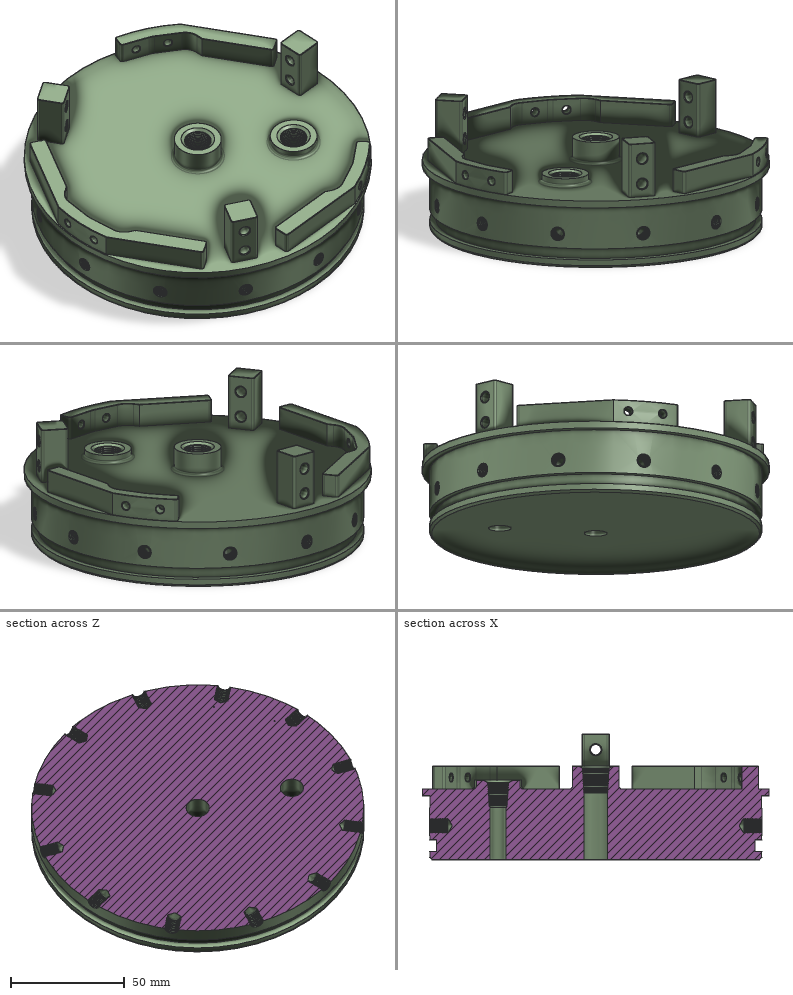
import cadquery as cq
import math

FLANGE_DIAMETER = 152.4
BODY_DIAMETER = 146.0
GROOVE_DIAMETER = 140.4
BOTTOM_CHAMFER = 1.0
GROOVE_BOTTOM = 3.7
GROOVE_TOP = 8.7
FLANGE_BOTTOM = 28.0
FLANGE_TOP = 31.1
TOTAL_HEIGHT = 55.2

PORT_BORE = 9.9
PORT_MAJOR = 11.6
PORT_THREAD_DEPTH = 0.3
PORT_MOUTH = 14.6
PORT_SINK_ANGLE = 120.0
PORT_PITCH = 0.9
PORT_THREAD_TURNS = 12
BOSS_DIAMETER = 20.5
BOSS_BASE_FILLET = 1.4
CENTER_BOSS_HEIGHT = 10.0
OFFSET_BOSS_HEIGHT = 3.8
OFFSET_BOSS_X = 3.7
OFFSET_BOSS_Y = 42.8

RIM_HOLE_COUNT = 12
RIM_HOLE_HEIGHT = 15.0
RIM_MINOR = 5.3
RIM_MAJOR = 6.1
RIM_PITCH = 0.8
RIM_THREAD_TURNS = 11
DRILL_POINT_ANGLE = 118.0

SECTOR_COUNT = 3
SECTOR_ANGLE = 360 / SECTOR_COUNT
POST_SIZE = 12.0
POST_RADIUS = 65.0
POST_HEIGHT = TOTAL_HEIGHT - FLANGE_TOP
POST_CORNER = 1.0
POST_TOP_CHAMFER = 0.23
POST_HOLE = 4.5
POST_HOLE_MOUTH = 5.3
POST_HOLE_HEIGHTS = (5.8, 17.2)

WALL_HEIGHT = 10.0
WALL_OUTER_RADIUS = 75.6
WALL_FLAT = 69.3
WALL_HOLE = 3.5
WALL_HOLE_MOUTH = 4.1
WALL_HOLE_ANGLE = 6.0
WALL_END_ANGLE = 12.0
WALL_CORNER = 1.2
WALL_TOP_CHAMFER = 0.23
FLAT_BLEND = 12.2
RECESS_FILLET = 7.6
ARM_INNER = 64.0
ARM_OUTER = 71.5
ARM_TIP = 19.2
ARM_RECESS = 13.1
ARM_ANGLE = 30.0


def polar(radius, angle):
    """Point at a radius and an angle in degrees."""
    return (radius * math.cos(math.radians(angle)), radius * math.sin(math.radians(angle)))


def arm_point(distance, along):
    """Point at a distance from the part axis and a length along the arm."""
    nx, ny = polar(1, ARM_ANGLE)
    return (distance * nx - along * ny, distance * ny + along * nx)


def mirrored(point):
    """Same point on the other side of the wall axis."""
    return (point[0], -point[1])


def spin(shape, angle):
    """Turn a shape about the part axis."""
    return shape.rotate((0, 0, 0), (0, 0, 1), angle)


def make_body():
    body_r = BODY_DIAMETER / 2
    groove_r = GROOVE_DIAMETER / 2
    flange_r = FLANGE_DIAMETER / 2
    return (
        cq.Workplane("XZ")
        .polyline([
            (0, 0),
            (body_r - BOTTOM_CHAMFER, 0),
            (body_r, BOTTOM_CHAMFER),
            (body_r, GROOVE_BOTTOM),
            (groove_r, GROOVE_BOTTOM),
            (groove_r, GROOVE_TOP),
            (body_r, GROOVE_TOP),
            (body_r, FLANGE_BOTTOM),
            (flange_r, FLANGE_BOTTOM),
            (flange_r, FLANGE_TOP),
            (0, FLANGE_TOP),
        ])
        .close()
        .revolve(360, (0, 0), (0, 1))
    )


def thread_teeth(top, crest, end_crest, depth, pitch, turns):
    """Profile points down a thread made of V-shaped rings.

    The crest diameter runs evenly from its first value to its end value.
    """
    step = (end_crest - crest) / turns
    points = []
    for turn in range(turns):
        start = top - turn * pitch
        radius = (crest + turn * step) / 2
        points.append((radius, start))
        points.append((radius + depth, start - pitch / 2))
    points.append((end_crest / 2, top - turns * pitch))
    return points


def make_boss(height):
    foot = BOSS_DIAMETER / 2
    blend = BOSS_BASE_FILLET
    arc_middle = blend * (1 - math.sqrt(0.5))
    return (
        cq.Workplane("XZ")
        .moveTo(0, -FLANGE_TOP / 2)
        .lineTo(foot + blend, -FLANGE_TOP / 2)
        .lineTo(foot + blend, 0)
        .threePointArc((foot + arc_middle, arc_middle), (foot, blend))
        .lineTo(foot, height)
        .lineTo(0, height)
        .close()
        .revolve(360, (0, 0), (0, 1))
        .translate((0, 0, FLANGE_TOP))
    )


def make_port_cutter(boss_height):
    """Countersunk mouth, thread and through bore."""
    top = FLANGE_TOP + boss_height
    sink_depth = (PORT_MOUTH - PORT_MAJOR) / 2 / math.tan(math.radians(PORT_SINK_ANGLE / 2))
    thread_top = top - sink_depth
    profile = [(0, top), (PORT_MOUTH / 2, top), (PORT_MAJOR / 2, thread_top)]
    profile += thread_teeth(
        thread_top,
        PORT_MAJOR - 2 * PORT_THREAD_DEPTH,
        PORT_BORE,
        PORT_THREAD_DEPTH,
        PORT_PITCH,
        PORT_THREAD_TURNS,
    )
    profile += [(PORT_BORE / 2, 0), (0, 0)]
    return cq.Workplane("XZ").polyline(profile).close().revolve(360, (0, 0), (0, 1))


def make_rim_cutter():
    """Blind threaded hole that runs inward from the rim along -X."""
    depth = RIM_THREAD_TURNS * RIM_PITCH
    point = RIM_MINOR / 2 / math.tan(math.radians(DRILL_POINT_ANGLE / 2))
    profile = [(0, RIM_PITCH), (RIM_MAJOR / 2, RIM_PITCH), (RIM_MAJOR / 2, 0)]
    thread_depth = (RIM_MAJOR - RIM_MINOR) / 2
    profile += thread_teeth(0, RIM_MINOR, RIM_MINOR, thread_depth, RIM_PITCH, RIM_THREAD_TURNS)
    profile += [(0, -depth - point)]
    cutter = cq.Workplane("XZ").polyline(profile).close().revolve(360, (0, 0), (0, 1))
    return cutter.rotate((0, 0, 0), (0, 1, 0), 90).translate((BODY_DIAMETER / 2, 0, RIM_HOLE_HEIGHT))


def make_radial_drill(bore, mouth, inner, outer, height):
    """Cutter along +X with a chamfered mouth at an inner and an outer face."""
    chamfer = (mouth - bore) / 2
    profile = [
        (inner, 0),
        (inner, mouth / 2),
        (inner + chamfer, bore / 2),
        (outer - chamfer, bore / 2),
        (outer, mouth / 2),
        (FLANGE_DIAMETER, mouth / 2),
        (FLANGE_DIAMETER, 0),
    ]
    cutter = cq.Workplane("XY").polyline(profile).close().revolve(360, (0, 0), (1, 0))
    return cutter.translate((0, 0, FLANGE_TOP + height))


def make_post():
    post = (
        cq.Workplane("XY", origin=(POST_RADIUS, 0, FLANGE_TOP))
        .rect(POST_SIZE, POST_SIZE)
        .extrude(POST_HEIGHT)
        .edges("|Z").fillet(POST_CORNER)
        .faces(">Z").chamfer(POST_TOP_CHAMFER)
    )
    inner = POST_RADIUS - POST_SIZE / 2
    outer = POST_RADIUS + POST_SIZE / 2
    for height in POST_HOLE_HEIGHTS:
        post = post.cut(make_radial_drill(POST_HOLE, POST_HOLE_MOUTH, inner, outer, height))
    return post


def recess_corner():
    """Corner where the flat at the wall hole meets the side of the recess."""
    x, y = arm_point(ARM_INNER, -ARM_RECESS)
    dx, dy = polar(1, -ARM_ANGLE)
    nx, ny = polar(1, WALL_HOLE_ANGLE)
    reach = (WALL_FLAT - x * nx - y * ny) / (dx * nx + dy * ny)
    return (x + reach * dx, y + reach * dy)


def make_wall(two_arms):
    """Wall on the +X side, with an arm on the +Y end and optionally on the -Y end."""
    outer_along = -math.sqrt(WALL_OUTER_RADIUS ** 2 - ARM_OUTER ** 2)
    flats_meet = (WALL_FLAT / math.cos(math.radians(WALL_HOLE_ANGLE)), 0)
    inner_end_r = WALL_FLAT / math.cos(math.radians(WALL_END_ANGLE - WALL_HOLE_ANGLE))
    corner = recess_corner()
    tips = [arm_point(ARM_INNER, ARM_TIP), arm_point(ARM_OUTER, ARM_TIP)]
    arm_in = [corner, arm_point(ARM_INNER, -ARM_RECESS), tips[0]]
    arm_out = [tips[1], arm_point(ARM_OUTER, outer_along)]

    if two_arms:
        far_out = [mirrored(p) for p in reversed(arm_out)]
        far_in = [mirrored(p) for p in reversed(arm_in)]
        sharp = tips + [mirrored(p) for p in tips]
        recess = [corner, mirrored(corner)]
    else:
        far_out = [polar(WALL_OUTER_RADIUS, -WALL_END_ANGLE)]
        far_in = [polar(inner_end_r, -WALL_END_ANGLE)]
        sharp = tips + far_out + far_in
        recess = [corner]

    outline = cq.Workplane("XY", origin=(0, 0, FLANGE_TOP)).moveTo(*flats_meet)
    for point in arm_in + arm_out:
        outline = outline.lineTo(*point)
    outline = outline.threePointArc((WALL_OUTER_RADIUS, 0), far_out[0])
    for point in far_out[1:] + far_in:
        outline = outline.lineTo(*point)
    wall = outline.close().extrude(WALL_HEIGHT)

    rounds = [(sharp, WALL_CORNER), (recess, RECESS_FILLET), ([flats_meet], FLAT_BLEND)]
    for points, radius in rounds:
        for point in points:
            nearest = cq.selectors.NearestToPointSelector((*point, FLANGE_TOP + WALL_HEIGHT / 2))
            wall = wall.edges("|Z").edges(nearest).fillet(radius)

    wall = wall.faces(">Z").chamfer(WALL_TOP_CHAMFER)

    drill = make_radial_drill(
        WALL_HOLE, WALL_HOLE_MOUTH, WALL_FLAT, WALL_OUTER_RADIUS, WALL_HEIGHT / 2
    )
    for angle in (WALL_HOLE_ANGLE, -WALL_HOLE_ANGLE):
        wall = wall.cut(spin(drill, angle))
    return wall


result = make_body()

ports = [(0, 0, CENTER_BOSS_HEIGHT), (OFFSET_BOSS_X, OFFSET_BOSS_Y, OFFSET_BOSS_HEIGHT)]
for x, y, height in ports:
    result = result.union(make_boss(height).translate((x, y, 0)))
    result = result.cut(make_port_cutter(height).translate((x, y, 0)))

rim_cutter = make_rim_cutter()
for index in range(RIM_HOLE_COUNT):
    result = result.cut(spin(rim_cutter, index * 360 / RIM_HOLE_COUNT))

post = make_post()
for index in range(SECTOR_COUNT):
    result = result.union(spin(post, index * SECTOR_ANGLE))

one_armed = make_wall(False).mirror("XZ")
result = result.union(spin(make_wall(True), -SECTOR_ANGLE / 2))
for index in range(1, SECTOR_COUNT):
    result = result.union(spin(one_armed, -SECTOR_ANGLE / 2 + index * SECTOR_ANGLE))